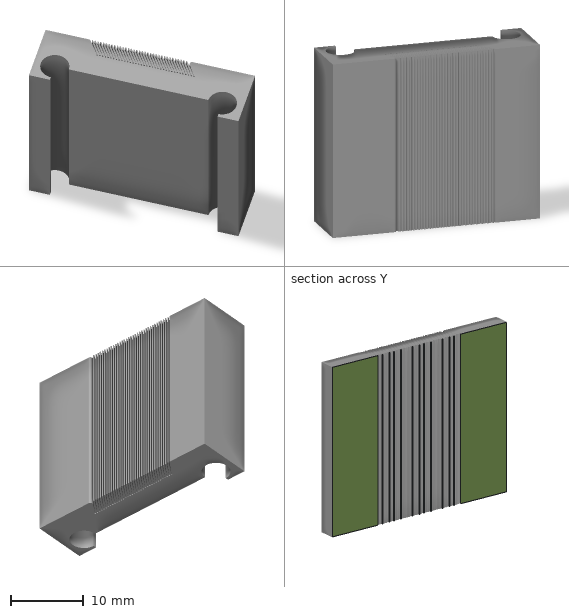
import cadquery as cq
import math

length = 30.0
depth = 8.4
height = 25.0
back = depth / 2
front = -depth / 2

groove_radius = 2.0
groove_spacing = 24.0
channel_depth = 2.5
groove_x = groove_spacing / 2
channel_floor = front + channel_depth

slot_count = 36
slot_row_span = 13.85
slot_depth = 2.5
slot_root_radius = 0.1
slot_neck_width = 0.015
slot_pitch = slot_row_span / (slot_count - 1)
root_y = back - slot_depth + slot_root_radius

fin_tip_radius = 0.087
fin_tip_shift = 1.32
first_wall_shift = 1.68
fin_tip_y = back - fin_tip_radius
lean = math.atan2(fin_tip_shift, fin_tip_y - root_y)

end_corner_radius = 0.35
end_corner_shift = 0.85


def on_circle(center, radius, angle):
    """Point on a circle at an angle from +X, in radians."""
    x, y = center
    return (x + radius * math.cos(angle), y + radius * math.sin(angle))


def add_slot_root(outline, root):
    """Run down the -X wall to the neck, then around the round slot root."""
    neck_angle = math.pi / 2 + lean
    neck_half_angle = math.asin(slot_neck_width / 2 / slot_root_radius)
    neck_start = on_circle(root, slot_root_radius, neck_angle + neck_half_angle)
    bottom = on_circle(root, slot_root_radius, neck_angle + math.pi)
    neck_end = on_circle(root, slot_root_radius, neck_angle - neck_half_angle)
    return outline.lineTo(*neck_start).threePointArc(bottom, neck_end)


def add_fin_tip(outline, root):
    """Run up the slot's +X wall, then around the round tip of the next fin."""
    tip = (root[0] - fin_tip_shift, fin_tip_y)
    rise_end = on_circle(tip, fin_tip_radius, math.pi + lean)
    crest = on_circle(tip, fin_tip_radius, math.pi / 2 + lean)
    fall_start = on_circle(tip, fin_tip_radius, lean)
    return outline.lineTo(*rise_end).threePointArc(crest, fall_start)


def add_end_corner(outline, root):
    """Run up the last slot's +X wall and round over onto the back face."""
    center = (root[0] - end_corner_shift, back - end_corner_radius)
    rise_end = on_circle(center, end_corner_radius, math.pi + lean)
    side = on_circle(center, end_corner_radius, math.pi)
    back_start = on_circle(center, end_corner_radius, math.pi / 2)
    return outline.lineTo(*rise_end).threePointArc(side, back_start)


def block_profile():
    """Plan outline of the block, running clockwise from its front -X corner."""
    half_length = length / 2
    roots = [(-slot_row_span / 2 + i * slot_pitch, root_y) for i in range(slot_count)]

    outline = cq.Workplane("XY").moveTo(-half_length, front).lineTo(-half_length, back)
    outline = outline.lineTo(roots[0][0] - first_wall_shift, back)
    for root in roots[:-1]:
        outline = add_slot_root(outline, root)
        outline = add_fin_tip(outline, root)
    outline = add_slot_root(outline, roots[-1])
    outline = add_end_corner(outline, roots[-1])

    lip_y = channel_floor - groove_radius
    left_mid_angle = math.pi * 3 / 4
    right_groove = (groove_x, channel_floor)
    left_groove = (-groove_x, channel_floor)
    return (
        outline.lineTo(half_length, back)
        .lineTo(half_length, front)
        .lineTo(groove_x, front)
        .lineTo(groove_x, lip_y)
        .threePointArc(
            on_circle(right_groove, groove_radius, math.pi - left_mid_angle),
            (groove_x - groove_radius, channel_floor),
        )
        .lineTo(-groove_x + groove_radius, channel_floor)
        .threePointArc(
            on_circle(left_groove, groove_radius, left_mid_angle),
            (-groove_x, lip_y),
        )
        .lineTo(-groove_x, front)
        .close()
    )


result = block_profile().extrude(height)